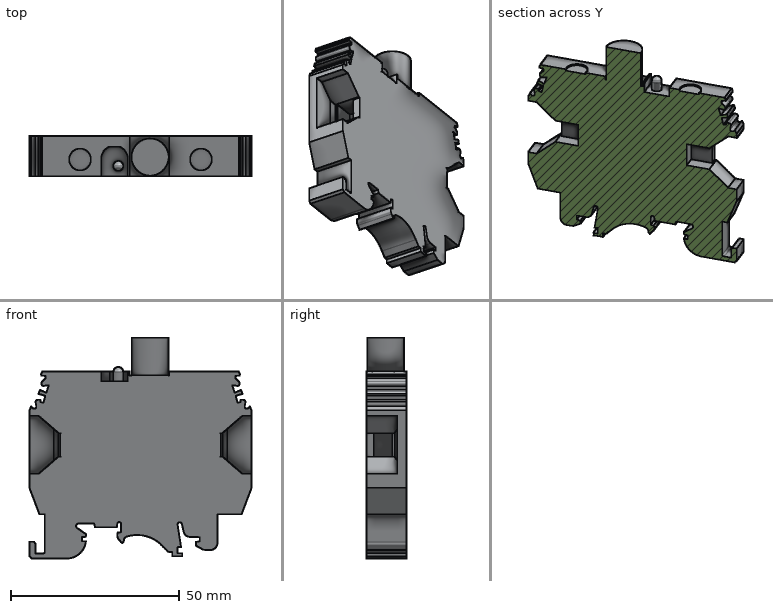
import cadquery as cq
import math

LENGTH = 66.0
THICKNESS = 12.0
HOUSING_TOP = 55.6
HALF_LENGTH = LENGTH / 2

SLOPE_TOP = 21.0
SLOPE_BOTTOM = 13.15
SLOPE_END_X = 30.0

RECESS_DEPTH = 9.25
RECESS_MID_Z = 33.8
RECESS_MOUTH_HALF_HEIGHT = 8.65
RECESS_THROAT_HALF_HEIGHT = 3.5
RECESS_MOUTH_X = 30.3
RECESS_THROAT_X = 24.35
RECESS_WALL_X = 23.8
RECESS_THROAT_DEPTH = 8.4
RECESS_SLANT_X = 25.75
WIRE_HOLE_Y = 5.0
WIRE_HOLE_WIDTH = 5.5
WIRE_HOLE_LENGTH = 6.6

SCREW_X = 17.95
SCREW_DIAMETER = 6.5
SCREW_DEPTH = 0.45

PLUNGER_X = 2.85
PLUNGER_Y = 5.75
PLUNGER_DIAMETER = 11.0
PLUNGER_TOP = 65.6
CHANNEL_LEFT = -3.25
CHANNEL_RIGHT = 8.5
CHANNEL_DEPTH = 1.2

POCKET_X = -7.7
POCKET_RADIUS = 3.95
POCKET_ROUND_Y = 5.15
POCKET_BACK_Y = 8.85
POCKET_DEPTH = 3.0
PIN_X = -6.6
PIN_Y = 3.1
PIN_DIAMETER = 3.0
PIN_SHOULDER = 55.45


def box(x_min, x_max, y_min, y_max, z_min, z_max):
    size = (x_max - x_min, y_max - y_min, z_max - z_min)
    return cq.Workplane("XY").box(*size, centered=False).translate((x_min, y_min, z_min))


def cylinder(x, y, z_min, z_max, diameter):
    return cq.Workplane("XY", origin=(x, y, z_min)).circle(diameter / 2).extrude(z_max - z_min)


def both_ends(left_part):
    return left_part.union(left_part.mirror("YZ"))


GRIP_TOP_X = 29.2
GRIP_BOTTOM = 44.0

GRIP = [
    (-29.6, 54.7),
    (-29.45, 54.3),
    (-28.25, 54.2),
    (-28.2, 53.6),
    (-29.2, 52.6),
    ((-29.45, 51.8), (-28.85, 51.2)),
    (-27.25, 51.5),
    (-28.0, 49.3),
    (-29.8, 50.1),
    (-30.0, 49.75),
    (-30.3, 48.9),
    (-28.3, 48.3),
    (-28.85, 46.3),
    (-29.65, 46.5),
    (-29.7, 47.2),
    (-30.4, 47.2),
    ((-31.0, 46.9), (-31.2, 46.5)),
    (-30.95, 45.2),
    ((-31.3, 44.6), (-32.0, 44.75)),
    (-32.5, 45.2),
    (-HALF_LENGTH, GRIP_BOTTOM),
]

FOOT = [
    (-28.45, SLOPE_BOTTOM),
    (-28.45, 2.1),
    ((-28.6, 1.7), (-29.0, 1.6)),
    (-31.15, 1.6),
    (-31.15, 4.4),
    (-31.6, 5.0),
    (-HALF_LENGTH, 5.0),
    (-HALF_LENGTH, 0.7),
    (-32.3, 0.0),
    (-21.5, 0.0),
    ((-18.1, 1.45), (-16.2, 5.15)),
    (-17.35, 5.2),
    (-17.35, 6.4),
    (-16.7, 6.4),
    ((-16.2, 6.7), (-16.25, 7.3)),
    (-18.9, 9.2),
    ((-19.0, 10.0), (-18.55, 10.35)),
    (-13.8, 10.35),
    (-13.5, 9.3),
    (-7.0, 9.3),
    (-6.85, 10.3),
    ((-6.35, 10.8), (-5.8, 10.3)),
    (-5.8, 7.85),
    (-6.7, 7.8),
    ((-6.9, 7.1), (-6.55, 5.75)),
    (-5.5, 4.55),
    (-4.95, 5.1),
    (-4.8, 5.95),
    (-4.2, 6.5),
    ((1.5, 6.65), (6.65, 3.55)),
    (8.25, 2.0),
    (9.4, 1.9),
    (9.4, 0.65),
    (12.4, 0.65),
    (12.4, 1.65),
    (11.0, 1.65),
    (11.0, 3.35),
    (12.1, 3.4),
    (11.0, 10.15),
    ((11.6, 10.75), (12.3, 10.15)),
    (12.8, 7.9),
    ((13.4, 6.9), (14.7, 6.4)),
    (17.55, 6.35),
    (17.55, 5.2),
    (16.45, 4.95),
    (16.45, 3.8),
    (18.7, 2.6),
    (20.7, 2.5),
    ((22.3, 3.25), (22.9, 4.95)),
    (22.9, SLOPE_BOTTOM),
]


def mirrored_upwards(profile, start):
    """The profile on the other end, walked from its last point back to its start."""
    steps = []
    ends = [start] + [step[1] if isinstance(step[0], tuple) else step for step in profile]
    for step, (x, z) in zip(reversed(profile), reversed(ends[:-1])):
        if isinstance(step[0], tuple):
            middle_x, middle_z = step[0]
            steps.append(((-middle_x, middle_z), (-x, z)))
        else:
            steps.append((-x, z))
    return steps


def draw(sketch, profile):
    for step in profile:
        if isinstance(step[0], tuple):
            sketch = sketch.threePointArc(*step)
        else:
            sketch = sketch.lineTo(*step)
    return sketch


def housing():
    grip_start = (-GRIP_TOP_X, HOUSING_TOP)
    left_slope = [(-HALF_LENGTH, SLOPE_TOP), (-SLOPE_END_X, SLOPE_BOTTOM)]
    right_slope = [(SLOPE_END_X, SLOPE_BOTTOM), (HALF_LENGTH, SLOPE_TOP)]
    right_end = [(HALF_LENGTH, GRIP_BOTTOM)] + mirrored_upwards(GRIP, grip_start)
    outline = cq.Workplane("XZ").moveTo(*grip_start)
    outline = draw(outline, GRIP + left_slope + FOOT + right_slope + right_end)
    return outline.close().extrude(-THICKNESS)


def left_clamp_recess():
    mouth_top = RECESS_MID_Z + RECESS_MOUTH_HALF_HEIGHT
    mouth_bottom = RECESS_MID_Z - RECESS_MOUTH_HALF_HEIGHT
    throat_top = RECESS_MID_Z + RECESS_THROAT_HALF_HEIGHT
    throat_bottom = RECESS_MID_Z - RECESS_THROAT_HALF_HEIGHT
    funnel = (
        cq.Workplane("XZ")
        .polyline([
            (-HALF_LENGTH, mouth_top),
            (-RECESS_MOUTH_X, mouth_top),
            (-RECESS_THROAT_X, throat_top),
            (-RECESS_WALL_X, throat_top),
            (-RECESS_WALL_X, throat_bottom),
            (-RECESS_THROAT_X, throat_bottom),
            (-RECESS_MOUTH_X, mouth_bottom),
            (-HALF_LENGTH, mouth_bottom),
        ])
        .close()
        .extrude(-RECESS_DEPTH)
    )
    plan = (
        cq.Workplane("XY", origin=(0, 0, mouth_bottom))
        .polyline([
            (-HALF_LENGTH, 0),
            (-HALF_LENGTH, RECESS_DEPTH),
            (-RECESS_SLANT_X, RECESS_DEPTH),
            (-RECESS_THROAT_X, RECESS_THROAT_DEPTH),
            (-RECESS_WALL_X, RECESS_THROAT_DEPTH),
            (-RECESS_WALL_X, 0),
        ])
        .close()
        .extrude(mouth_top - mouth_bottom)
    )
    wire_hole = box(
        -RECESS_WALL_X,
        -RECESS_WALL_X + WIRE_HOLE_LENGTH,
        WIRE_HOLE_Y - WIRE_HOLE_WIDTH / 2,
        WIRE_HOLE_Y + WIRE_HOLE_WIDTH / 2,
        throat_bottom,
        throat_top,
    )
    return funnel.intersect(plan).union(wire_hole)


def left_screw_sinking():
    return cylinder(-SCREW_X, WIRE_HOLE_Y, HOUSING_TOP - SCREW_DEPTH, HOUSING_TOP, SCREW_DIAMETER)


def plunger_channel():
    return box(CHANNEL_LEFT, CHANNEL_RIGHT, 0, THICKNESS, HOUSING_TOP - CHANNEL_DEPTH, HOUSING_TOP)


def pin_pocket():
    """Open to the front; the round end is cut flat at the back."""
    left = POCKET_X - POCKET_RADIUS
    right = POCKET_X + POCKET_RADIUS
    flat_half_width = math.sqrt(POCKET_RADIUS**2 - (POCKET_BACK_Y - POCKET_ROUND_Y) ** 2)
    shoulder = POCKET_RADIUS * math.sqrt(0.5)
    shoulder_y = POCKET_ROUND_Y + shoulder
    return (
        cq.Workplane("XY", origin=(0, 0, HOUSING_TOP - POCKET_DEPTH))
        .moveTo(left, 0)
        .lineTo(left, POCKET_ROUND_Y)
        .threePointArc((POCKET_X - shoulder, shoulder_y), (POCKET_X - flat_half_width, POCKET_BACK_Y))
        .lineTo(POCKET_X + flat_half_width, POCKET_BACK_Y)
        .threePointArc((POCKET_X + shoulder, shoulder_y), (right, POCKET_ROUND_Y))
        .lineTo(right, 0)
        .close()
        .extrude(POCKET_DEPTH)
    )


def pin():
    shaft = cylinder(PIN_X, PIN_Y, HOUSING_TOP - POCKET_DEPTH, PIN_SHOULDER, PIN_DIAMETER)
    dome = cq.Workplane("XY", origin=(PIN_X, PIN_Y, PIN_SHOULDER)).sphere(PIN_DIAMETER / 2)
    return shaft.union(dome)


def plunger():
    return cylinder(PLUNGER_X, PLUNGER_Y, HOUSING_TOP - CHANNEL_DEPTH, PLUNGER_TOP, PLUNGER_DIAMETER)


result = (
    housing()
    .cut(both_ends(left_clamp_recess()))
    .cut(both_ends(left_screw_sinking()))
    .cut(plunger_channel())
    .cut(pin_pocket())
    .union(plunger())
    .union(pin())
)